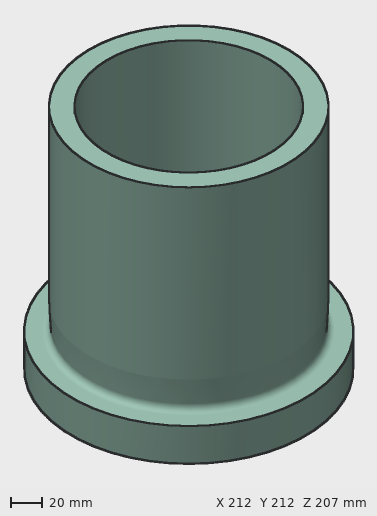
import cadquery as cq
import math

flange_diameter = 212.0
flange_height = 29.9

total_height = 207.0
tube_diameter = 180.0
bore_diameter = 147.1

taper_top = 55.0
neck_diameter = 178.0
fillet_radius = 5.0

flange_radius = flange_diameter / 2
tube_radius = tube_diameter / 2
bore_radius = bore_diameter / 2
neck_radius = neck_diameter / 2
fillet_foot_radius = neck_radius + fillet_radius
fillet_top = flange_height + fillet_radius

diagonal_offset = fillet_radius * math.sqrt(0.5)
fillet_middle = (fillet_foot_radius - diagonal_offset, fillet_top - diagonal_offset)

half_section = (
    cq.Workplane("XZ")
    .moveTo(bore_radius, 0)
    .lineTo(flange_radius, 0)
    .lineTo(flange_radius, flange_height)
    .lineTo(fillet_foot_radius, flange_height)
    .threePointArc(fillet_middle, (neck_radius, fillet_top))
    .lineTo(tube_radius, taper_top)
    .lineTo(tube_radius, total_height)
    .lineTo(bore_radius, total_height)
    .close()
)

result = half_section.revolve(360, (0, 0, 0), (0, 1, 0))